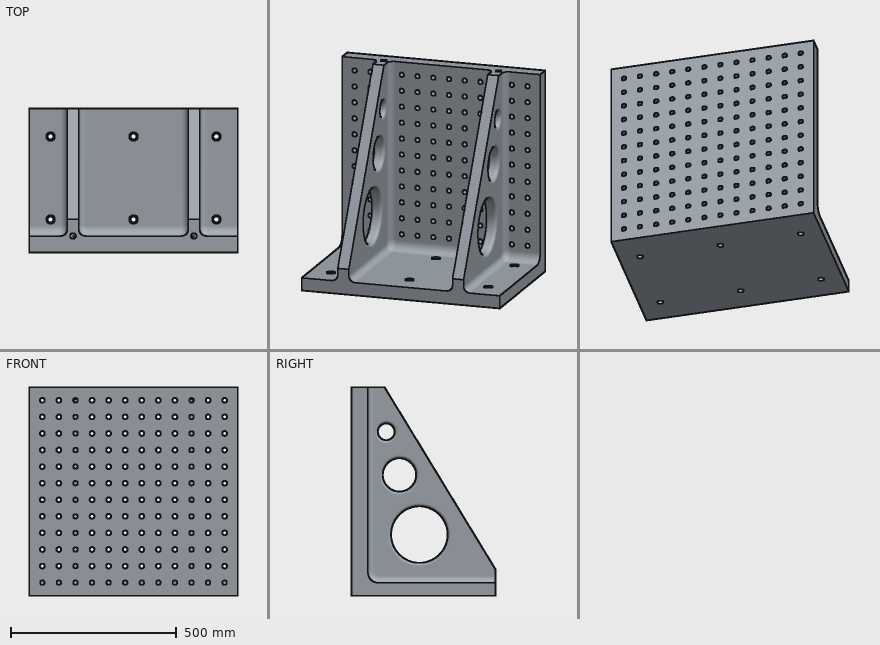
import cadquery as cq
import math

WIDTH = 630.0
DEPTH = 435.0
HEIGHT = 630.0

FACE_PLATE_THICKNESS = 50.0
BASE_PLATE_THICKNESS = 40.0
PLATE_CORNER_RADIUS = 30.0

RIB_THICKNESS = 35.0
RIB_SPACING = 365.0
RIB_TOP_DEPTH = 100.0
RIB_REAR_HEIGHT = 80.0
RIB_ROOT_RADIUS = 20.0
RIB_X_POSITIONS = [(WIDTH - RIB_SPACING) / 2, (WIDTH + RIB_SPACING) / 2]

RIB_WINDOWS = [
    (50.0, 105.0, 495.0),
    (100.0, 145.0, 365.0),
    (170.0, 205.0, 185.0),
]
WINDOW_EDGE_RADIUS = 10.0

GRID_HOLE_DIAMETER = 14.0
GRID_COUNT = 12
GRID_PITCH = 50.0
GRID_HOLE_DEPTH = FACE_PLATE_THICKNESS

MOUNT_HOLE_DIAMETER = 18.0
MOUNT_COUNTERBORE_DIAMETER = 26.0
MOUNT_COUNTERBORE_DEPTH = 5.0
MOUNT_PITCH = 250.0
MOUNT_COLUMNS = 3
MOUNT_ROWS = 2
MOUNT_FIRST_ROW_Y = 100.0

LIFTING_HOLE_DIAMETER = 17.5
LIFTING_HOLE_DEPTH = 35.0
DRILL_POINT_ANGLE = 118.0
LIFTING_HOLE_Y = FACE_PLATE_THICKNESS


def make_plates():
    """L-shaped bracket body with a rounded inside corner."""
    return (
        cq.Workplane("YZ")
        .polyline([
            (0, 0),
            (DEPTH, 0),
            (DEPTH, BASE_PLATE_THICKNESS),
            (FACE_PLATE_THICKNESS, BASE_PLATE_THICKNESS),
            (FACE_PLATE_THICKNESS, HEIGHT),
            (0, HEIGHT),
        ])
        .close()
        .extrude(WIDTH)
        .edges(cq.selectors.NearestToPointSelector(
            (WIDTH / 2, FACE_PLATE_THICKNESS, BASE_PLATE_THICKNESS)))
        .fillet(PLATE_CORNER_RADIUS)
    )


def make_rib(center_x):
    """Triangular rib that reaches from the face plate to the rear of the base."""
    return (
        cq.Workplane("YZ", origin=(center_x - RIB_THICKNESS / 2, 0, 0))
        .polyline([
            (0, 0),
            (DEPTH, 0),
            (DEPTH, RIB_REAR_HEIGHT),
            (RIB_TOP_DEPTH, HEIGHT),
            (0, HEIGHT),
        ])
        .close()
        .extrude(RIB_THICKNESS)
    )


def round_rib_roots(body):
    """Round the rib joints; each round runs from the base around the corner and up the face plate."""
    base_joint_y = (FACE_PLATE_THICKNESS + PLATE_CORNER_RADIUS + DEPTH) / 2
    base_joints = []
    for center_x in RIB_X_POSITIONS:
        for side in (-1, 1):
            side_x = center_x + side * RIB_THICKNESS / 2
            base_joints += body.edges(cq.selectors.NearestToPointSelector(
                (side_x, base_joint_y, BASE_PLATE_THICKNESS))).vals()
    return body.newObject(base_joints).fillet(RIB_ROOT_RADIUS)


def make_window_cutter(center_x, diameter, y, z):
    """Window through a rib, flared by a round at both rib faces."""
    half_length = RIB_THICKNESS / 2
    straight_half_length = half_length - WINDOW_EDGE_RADIUS
    radius = diameter / 2
    flare_radius = radius + WINDOW_EDGE_RADIUS
    bend = WINDOW_EDGE_RADIUS * math.sin(math.radians(45))
    profile = (
        cq.Workplane("XY")
        .moveTo(-half_length, 0)
        .lineTo(-half_length, flare_radius)
        .threePointArc(
            (-straight_half_length - bend, flare_radius - bend),
            (-straight_half_length, radius))
        .lineTo(straight_half_length, radius)
        .threePointArc(
            (straight_half_length + bend, flare_radius - bend),
            (half_length, flare_radius))
        .lineTo(half_length, 0)
        .close()
    )
    return profile.revolve(360, (0, 0, 0), (1, 0, 0)).translate((center_x, y, z))


def cut_grid_holes(body):
    """Square grid of holes in the face plate, as deep as the plate is thick."""
    holes = (
        cq.Workplane("XZ", origin=(WIDTH / 2, 0, HEIGHT / 2))
        .rarray(GRID_PITCH, GRID_PITCH, GRID_COUNT, GRID_COUNT)
        .circle(GRID_HOLE_DIAMETER / 2)
        .extrude(-GRID_HOLE_DEPTH)
    )
    return body.cut(holes)


def cut_mount_holes(body):
    """Counterbored through holes in the base plate."""
    center_y = MOUNT_FIRST_ROW_Y + MOUNT_PITCH * (MOUNT_ROWS - 1) / 2
    return (
        body.copyWorkplane(
            cq.Workplane("XY", origin=(WIDTH / 2, center_y, BASE_PLATE_THICKNESS)))
        .rarray(MOUNT_PITCH, MOUNT_PITCH, MOUNT_COLUMNS, MOUNT_ROWS)
        .cboreHole(MOUNT_HOLE_DIAMETER, MOUNT_COUNTERBORE_DIAMETER, MOUNT_COUNTERBORE_DEPTH)
    )


def cut_lifting_holes(body):
    """Drilled blind holes in the top, in line with the ribs, with conical bottoms."""
    radius = LIFTING_HOLE_DIAMETER / 2
    point_length = radius / math.tan(math.radians(DRILL_POINT_ANGLE / 2))
    drill = (
        cq.Workplane("XZ")
        .polyline([
            (0, HEIGHT),
            (radius, HEIGHT),
            (radius, HEIGHT - LIFTING_HOLE_DEPTH),
            (0, HEIGHT - LIFTING_HOLE_DEPTH - point_length),
        ])
        .close()
        .revolve(360, (0, 0, 0), (0, 1, 0))
    )
    for center_x in RIB_X_POSITIONS:
        body = body.cut(drill.translate((center_x, LIFTING_HOLE_Y, 0)))
    return body


bracket = make_plates()
for rib_x in RIB_X_POSITIONS:
    bracket = bracket.union(make_rib(rib_x))
bracket = round_rib_roots(bracket)
for rib_x in RIB_X_POSITIONS:
    for window_diameter, window_y, window_z in RIB_WINDOWS:
        bracket = bracket.cut(make_window_cutter(rib_x, window_diameter, window_y, window_z))
bracket = cut_grid_holes(bracket)
bracket = cut_mount_holes(bracket)
result = cut_lifting_holes(bracket)